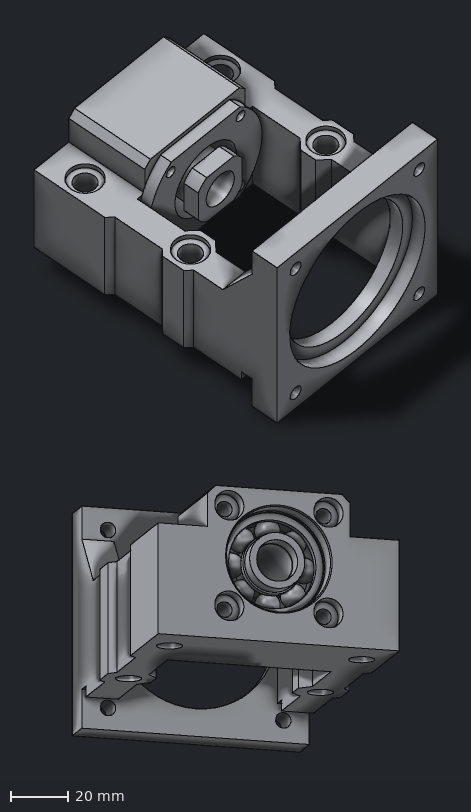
import cadquery as cq
import math


LENGTH = 113.0
WIDTH = 88.0
SIDE_STEP = 2.5
RAIL_OUTER_Y = WIDTH / 2 - SIDE_STEP
RAIL_INNER_Y = 29.8
BASE_TOP_Z = 10.0
BASE_BOTTOM_Z = -30.0
BASE_HEIGHT = BASE_TOP_Z - BASE_BOTTOM_Z

BLOCK_LENGTH = 36.0
TOWER_WIDTH = 52.0
TOWER_TOP_Z = 25.0
TOWER_CHAMFER = 2.9

PLATE_THICKNESS = 12.0
PLATE_HEIGHT = 80.0
PLATE_X = LENGTH - PLATE_THICKNESS
PLATE_BORE_DIA = 60.0
PILOT_DIA = 70.1
PILOT_DEPTH = 6.0
PLATE_HOLE_DIA = 5.5
PLATE_HOLE_OFFSET = 32.0

GUSSET_START_X = 87.2
GUSSET_TOP_Z = 28.0
RELIEF_LENGTH = 5.0
RELIEF_HEIGHT = 4.0

MOUNT_FRONT_X = 16.0
MOUNT_SPACING = 50.0
MOUNT_REAR_X = MOUNT_FRONT_X + MOUNT_SPACING
MOUNT_Y = 35.0
MOUNT_DIA = 9.0
MOUNT_CBORE_DIA = 14.0
MOUNT_CBORE_DEPTH = 2.0
BOSS_LENGTH = 14.9
INNER_BOSS_STEP = 4.0

BORE_DIA = 38.0
BORE_CHAMFER = 0.5
SCREW_OFFSET = 18.1
SCREW_DIA = 5.5
SCREW_CBORE_DIA = 10.6
SCREW_CBORE_DEPTH = 5.9
SCREW_TAP_DIA = 4.5

RIM_X = 7.0
RACE_X = 8.0
RIM_INNER_DIA = 37.1
OUTER_RACE_DIA = 31.9
FLANGE_DIA = 58.3
FLANGE_FLAT_Z = 23.0
FLANGE_THICKNESS = 5.1
FLANGE_BACK_X = BLOCK_LENGTH + FLANGE_THICKNESS
SPINDLE_BORE_DIA = 14.6
COLLAR_BORE_DIA = 14.9
COLLAR_FRONT_X = 2.0
COLLAR_DIA = 20.1
INNER_RACE_DIA = 21.5
BALL_COUNT = 8
BALL_DIA = 9.0
GROOVE_DIA = 8.6
BALL_X = 14.0
BALL_CIRCLE_RADIUS = (INNER_RACE_DIA + OUTER_RACE_DIA) / 4
NUT_WIDTH = 22.7
NUT_END_X = 48.0
NUT_CORNER_DIA = 26.7


def box(x_range, y_range, z_range):
    """Box between pairs of limits."""
    (x0, x1), (y0, y1), (z0, z1) = x_range, y_range, z_range
    return cq.Workplane("XY").box(x1 - x0, y1 - y0, z1 - z0, centered=False).translate((x0, y0, z0))


def rod(diameter, x0, x1, y=0, z=0):
    """Cylinder along X."""
    return cq.Workplane("YZ", origin=(x0, y, z)).circle(diameter / 2).extrude(x1 - x0)


def square_pattern(offset):
    """Four (Y, Z) places on the corners of a square around the spindle axis."""
    return [(y, z) for y in (-offset, offset) for z in (-offset, offset)]


def make_base():
    """Bearing block base with chamfered shoulders down to the rail width."""
    half = WIDTH / 2
    outline = [
        (0, -half),
        (BLOCK_LENGTH - SIDE_STEP, -half),
        (BLOCK_LENGTH, -RAIL_OUTER_Y),
        (BLOCK_LENGTH, RAIL_OUTER_Y),
        (BLOCK_LENGTH - SIDE_STEP, half),
        (0, half),
    ]
    return cq.Workplane("XY", origin=(0, 0, BASE_BOTTOM_Z)).polyline(outline).close().extrude(BASE_HEIGHT)


def make_tower():
    """Raised middle of the bearing block, chamfered along its two upper edges."""
    half = TOWER_WIDTH / 2
    tower = box((0, BLOCK_LENGTH), (-half, half), (BASE_BOTTOM_Z, TOWER_TOP_Z))
    return tower.edges("|X and >Z").chamfer(TOWER_CHAMFER)


def make_rail(side):
    """Side rail with its sloped gusset and the relief notch in front of the motor plate."""
    profile = [
        (BLOCK_LENGTH, BASE_BOTTOM_Z),
        (PLATE_X - RELIEF_LENGTH, BASE_BOTTOM_Z),
        (PLATE_X - RELIEF_LENGTH, BASE_BOTTOM_Z + RELIEF_HEIGHT),
        (PLATE_X, BASE_BOTTOM_Z + RELIEF_HEIGHT),
        (PLATE_X, GUSSET_TOP_Z),
        (GUSSET_START_X, BASE_TOP_Z),
        (BLOCK_LENGTH, BASE_TOP_Z),
    ]
    start_y = -side * RAIL_INNER_Y
    rail = cq.Workplane("XZ").workplane(offset=start_y).polyline(profile).close()
    return rail.extrude(-side * (RAIL_OUTER_Y - RAIL_INNER_Y))


def make_boss(side):
    """Eight-sided boss that widens a rail around its rear mounting hole."""
    half = BOSS_LENGTH / 2
    outline = [
        (-half, RAIL_INNER_Y),
        (INNER_BOSS_STEP - half, RAIL_INNER_Y - INNER_BOSS_STEP),
        (half - INNER_BOSS_STEP, RAIL_INNER_Y - INNER_BOSS_STEP),
        (half, RAIL_INNER_Y),
        (half, RAIL_OUTER_Y),
        (half - SIDE_STEP, RAIL_OUTER_Y + SIDE_STEP),
        (SIDE_STEP - half, RAIL_OUTER_Y + SIDE_STEP),
        (-half, RAIL_OUTER_Y),
    ]
    points = [(MOUNT_REAR_X + x, side * y) for x, y in outline]
    return cq.Workplane("XY", origin=(0, 0, BASE_BOTTOM_Z)).polyline(points).close().extrude(BASE_HEIGHT)


def make_motor_plate():
    """Motor plate with a stepped pilot bore and four fixing holes."""
    plate = box(
        (PLATE_X, LENGTH),
        (-RAIL_OUTER_Y, RAIL_OUTER_Y),
        (-PLATE_HEIGHT / 2, PLATE_HEIGHT / 2),
    )
    plate = plate.cut(rod(PLATE_BORE_DIA, PLATE_X, LENGTH))
    plate = plate.cut(rod(PILOT_DIA, LENGTH - PILOT_DEPTH, LENGTH))
    for y, z in square_pattern(PLATE_HOLE_OFFSET):
        plate = plate.cut(rod(PLATE_HOLE_DIA, PLATE_X, LENGTH, y, z))
    return plate


def cut_mounting_holes(body):
    """Four vertical counterbored holes through the base and the bosses."""
    places = [(x, y) for x in (MOUNT_FRONT_X, MOUNT_REAR_X) for y in (-MOUNT_Y, MOUNT_Y)]
    top = cq.Workplane("XY", origin=(0, 0, BASE_TOP_Z)).pushPoints(places)
    body = body.cut(top.circle(MOUNT_DIA / 2).extrude(-BASE_HEIGHT))
    return body.cut(top.circle(MOUNT_CBORE_DIA / 2).extrude(-MOUNT_CBORE_DEPTH))


def cut_bearing_bore(body):
    """Bore through the bearing block with a chamfered front edge."""
    body = body.cut(rod(BORE_DIA, 0, BLOCK_LENGTH))
    cone = cq.Solid.makeCone(
        BORE_DIA / 2 + BORE_CHAMFER,
        BORE_DIA / 2,
        BORE_CHAMFER,
        dir=cq.Vector(1, 0, 0),
    )
    return body.cut(cq.Workplane(cone))


def cut_screw_holes(body):
    """Four counterbored screw holes around the bearing bore."""
    for y, z in square_pattern(SCREW_OFFSET):
        body = body.cut(rod(SCREW_DIA, 0, BLOCK_LENGTH, y, z))
        body = body.cut(rod(SCREW_CBORE_DIA, 0, SCREW_CBORE_DEPTH, y, z))
    return body


def make_housing():
    body = make_base().union(make_tower()).union(make_motor_plate())
    for side in (-1, 1):
        body = body.union(make_rail(side)).union(make_boss(side))
    return cut_screw_holes(cut_bearing_bore(cut_mounting_holes(body)))


def make_outer_sleeve():
    """Flanged sleeve with a thin front rim; the flange has two flats and four tapped holes."""
    flange = rod(FLANGE_DIA, BLOCK_LENGTH, FLANGE_BACK_X)
    flange = flange.intersect(
        box(
            (BLOCK_LENGTH, FLANGE_BACK_X),
            (-FLANGE_DIA, FLANGE_DIA),
            (-FLANGE_FLAT_Z, FLANGE_FLAT_Z),
        )
    )
    for y, z in square_pattern(SCREW_OFFSET):
        flange = flange.cut(rod(SCREW_TAP_DIA, BLOCK_LENGTH, FLANGE_BACK_X, y, z))
    sleeve = rod(BORE_DIA, RIM_X, BLOCK_LENGTH).union(flange)
    sleeve = sleeve.cut(rod(RIM_INNER_DIA, RIM_X, RACE_X))
    return sleeve.cut(rod(OUTER_RACE_DIA, RIM_X, FLANGE_BACK_X))


def make_inner_sleeve():
    """Inner race with a front collar and a square nut with rounded corners behind it."""
    nut = cq.Workplane("YZ", origin=(FLANGE_BACK_X, 0, 0)).rect(NUT_WIDTH, NUT_WIDTH)
    nut = nut.extrude(NUT_END_X - FLANGE_BACK_X)
    nut = nut.intersect(rod(NUT_CORNER_DIA, FLANGE_BACK_X, NUT_END_X))
    sleeve = rod(COLLAR_DIA, COLLAR_FRONT_X, RACE_X)
    sleeve = sleeve.union(rod(INNER_RACE_DIA, RACE_X, FLANGE_BACK_X)).union(nut)
    sleeve = sleeve.cut(rod(COLLAR_BORE_DIA, COLLAR_FRONT_X, RACE_X))
    return sleeve.cut(rod(SPINDLE_BORE_DIA, RACE_X, NUT_END_X))


def make_ball_groove():
    """Ring of round section that is cut out of both races as the ball track."""
    groove = cq.Solid.makeTorus(
        BALL_CIRCLE_RADIUS,
        GROOVE_DIA / 2,
        cq.Vector(BALL_X, 0, 0),
        cq.Vector(1, 0, 0),
    )
    return cq.Workplane(groove)


def make_bearing():
    """Complete bearing unit: the balls sink into both races and join them."""
    bearing = make_outer_sleeve().union(make_inner_sleeve()).cut(make_ball_groove())
    for index in range(BALL_COUNT):
        angle = 2 * math.pi * index / BALL_COUNT
        y = BALL_CIRCLE_RADIUS * math.cos(angle)
        z = BALL_CIRCLE_RADIUS * math.sin(angle)
        ball = cq.Workplane("XY").sphere(BALL_DIA / 2).translate((BALL_X, y, z))
        bearing = bearing.union(ball)
    return bearing


housing = make_housing()
bearing = make_bearing()

result = cq.Compound.makeCompound([housing.val(), bearing.val()])